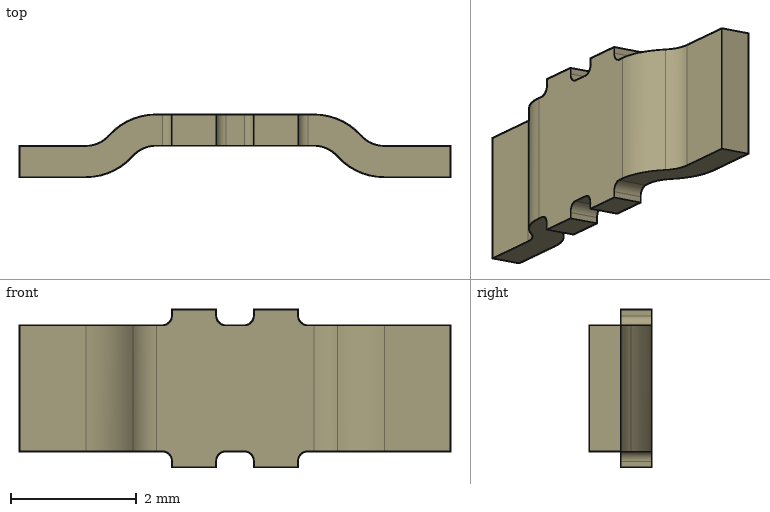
import cadquery as cq
import math

length = 6.85
thickness = 0.5
strip_height = 2.01
overall_height = 2.51
centre_length = 2.51
tab_width = 0.705
tab_pitch = 1.3
root_radius = 0.15

inner_radius = thickness
outer_radius = inner_radius + thickness
bend_angle = math.acos(1 - thickness / (inner_radius + outer_radius))
bend_run = (inner_radius + outer_radius) * math.sin(bend_angle)

half_length = length / 2
half_centre = centre_length / 2
foot_start = half_centre + bend_run
front_y = -thickness
middle_y = 0.0
back_y = thickness


def arc_point(centre_x, centre_y, radius, angle):
    """Point on an arc, with the angle measured from +Y towards +X."""
    return (centre_x + radius * math.sin(angle), centre_y + radius * math.cos(angle))


def bend(side):
    """S-bend and foot on one side of the centre (side is +1 or -1)."""
    upper = (side * half_centre, middle_y - inner_radius)
    lower = (side * foot_start, middle_y + inner_radius)
    full = side * bend_angle
    half = full / 2
    back_full = math.pi + full
    back_half = math.pi + half
    return (
        cq.Workplane("XY", origin=(0, 0, -strip_height / 2))
        .moveTo(side * half_centre, back_y)
        .threePointArc(arc_point(*upper, outer_radius, half), arc_point(*upper, outer_radius, full))
        .threePointArc(arc_point(*lower, inner_radius, back_half), (side * foot_start, middle_y))
        .lineTo(side * half_length, middle_y)
        .lineTo(side * half_length, front_y)
        .lineTo(side * foot_start, front_y)
        .threePointArc(arc_point(*lower, outer_radius, back_half), arc_point(*lower, outer_radius, back_full))
        .threePointArc(arc_point(*upper, inner_radius, half), (side * half_centre, middle_y))
        .close()
        .extrude(strip_height)
    )


def centre_plate():
    """Flat raised plate with two tabs on each long edge and rounded tab roots."""
    plate = cq.Workplane("XY").box(centre_length, thickness, strip_height).translate((0, thickness / 2, 0))
    for x in (-tab_pitch / 2, tab_pitch / 2):
        tab = cq.Workplane("XY").box(tab_width, thickness, overall_height)
        plate = plate.union(tab.translate((x, thickness / 2, 0)))
    roots = [
        (tab * tab_pitch / 2 + flank * tab_width / 2, thickness / 2, edge * strip_height / 2)
        for tab in (-1, 1)
        for flank in (-1, 1)
        for edge in (-1, 1)
    ]
    for root in roots:
        plate = plate.edges(cq.selectors.NearestToPointSelector(root)).fillet(root_radius)
    return plate


result = centre_plate().union(bend(-1)).union(bend(1))